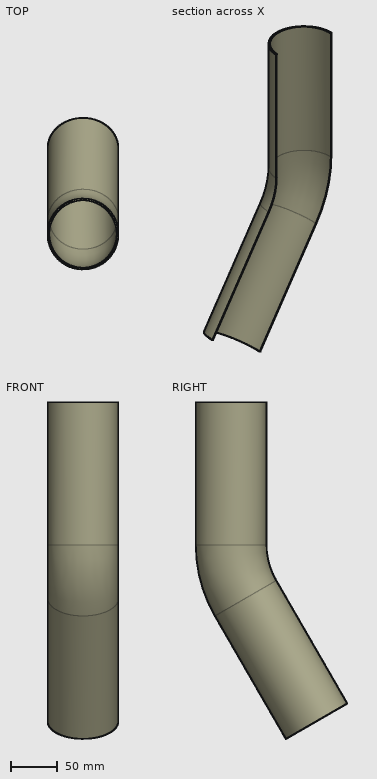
import cadquery as cq
import math

total_height = 360.5
outer_diameter = 76.0
inner_diameter = 72.0
bend_angle = 30.0
bend_radius = 1.5 * outer_diameter

sin_bend = math.sin(math.radians(bend_angle))
cos_bend = math.cos(math.radians(bend_angle))
bend_height = bend_radius * sin_bend
end_face_drop = outer_diameter / 2 * sin_bend
leg_length = (total_height - bend_height - end_face_drop) / (1 + cos_bend)

bend_axis_start = (0, bend_radius, 0)
bend_axis_end = (1, bend_radius, 0)


def pipe_section():
    """Ring-shaped cross-section at the start of the bend."""
    return cq.Workplane("XY").circle(outer_diameter / 2).circle(inner_diameter / 2)


upper_leg = pipe_section().extrude(leg_length)

bend = pipe_section().revolve(bend_angle, bend_axis_start, bend_axis_end)

lower_leg = pipe_section().extrude(-leg_length).rotate(bend_axis_start, bend_axis_end, bend_angle)

result = upper_leg.union(bend).union(lower_leg)